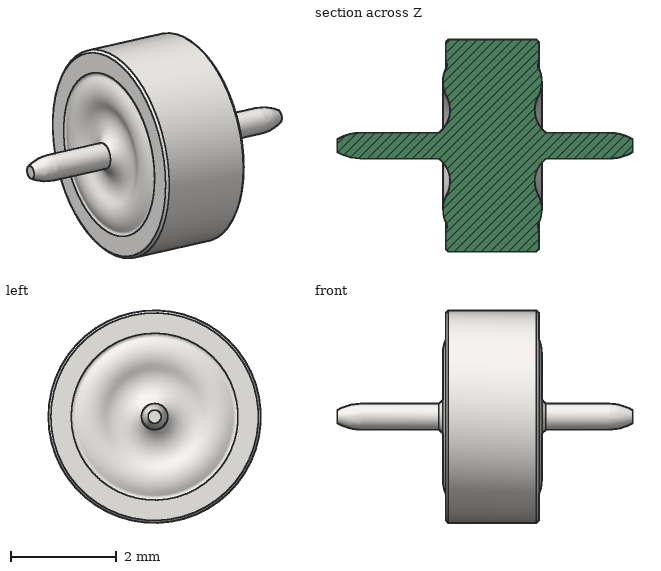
import cadquery as cq
import math

disc_diameter = 4.03
disc_thickness = 1.77
rim_chamfer = 0.05

groove_outer_radius = 1.58
bead_outer_radius = 1.49
bead_inner_radius = 0.935
bead_crest_height = 0.055
bead_edge_depth = 0.015
pin_fillet_height = 0.13

pin_diameter = 0.5
pin_length = 5.6
pin_shift = 0.14
tip_diameter = 0.25
nose_length = 0.45

disc_radius = disc_diameter / 2
face_x = disc_thickness / 2
pin_radius = pin_diameter / 2
tip_radius = tip_diameter / 2
left_pin_reach = pin_length / 2 + pin_shift
right_pin_reach = pin_length / 2 - pin_shift

bead_width = bead_outer_radius - bead_inner_radius
bead_rise = bead_crest_height + bead_edge_depth
bead_edge_slope = 2 * math.atan2(bead_rise, bead_width / 2)


def concave_arc_middle(bead_edge, far_end):
    """Middle point of the arc that leaves the bead edge tangentially and ends at far_end.

    Points are (x, radius). The arc first dips towards the disc at the bead edge slope.
    """
    rise = far_end[0] - bead_edge[0]
    run = far_end[1] - bead_edge[1]
    turn = math.atan2(rise, abs(run)) + bead_edge_slope
    sag_ratio = math.tan(turn / 2) / 2
    middle_x = (bead_edge[0] + far_end[0]) / 2 - abs(run) * sag_ratio
    middle_radius = (bead_edge[1] + far_end[1]) / 2 + math.copysign(rise * sag_ratio, run)
    return middle_x, middle_radius


def nose_middle(pin_reach):
    """Middle point of the nose arc, which is tangent to the pin's cylinder."""
    drop = pin_radius - tip_radius
    nose_radius = (nose_length**2 + drop**2) / (2 * drop)
    half_angle = math.asin(nose_length / nose_radius) / 2
    middle_x = pin_reach - nose_length + nose_radius * math.sin(half_angle)
    middle_radius = pin_radius - nose_radius * (1 - math.cos(half_angle))
    return middle_x, middle_radius


def make_half(pin_reach):
    """Half of the part on the +X side: half the disc and the pin out to pin_reach."""
    groove_edge = (face_x, groove_outer_radius)
    bead_outer_edge = (face_x - bead_edge_depth, bead_outer_radius)
    bead_crest = (face_x + bead_crest_height, (bead_outer_radius + bead_inner_radius) / 2)
    bead_inner_edge = (face_x - bead_edge_depth, bead_inner_radius)
    pin_root = (face_x + pin_fillet_height, pin_radius)
    profile = (
        cq.Workplane("XY")
        .moveTo(0, 0)
        .lineTo(0, disc_radius)
        .lineTo(face_x - rim_chamfer, disc_radius)
        .lineTo(face_x, disc_radius - rim_chamfer)
        .lineTo(*groove_edge)
        .threePointArc(concave_arc_middle(bead_outer_edge, groove_edge), bead_outer_edge)
        .threePointArc(bead_crest, bead_inner_edge)
        .threePointArc(concave_arc_middle(bead_inner_edge, pin_root), pin_root)
        .lineTo(pin_reach - nose_length, pin_radius)
        .threePointArc(nose_middle(pin_reach), (pin_reach, tip_radius))
        .lineTo(pin_reach, 0)
        .close()
    )
    return profile.revolve(360, (0, 0, 0), (1, 0, 0))


right_half = make_half(right_pin_reach)
left_half = make_half(left_pin_reach).rotate((0, 0, 0), (0, 1, 0), 180)
result = right_half.union(left_half).clean()